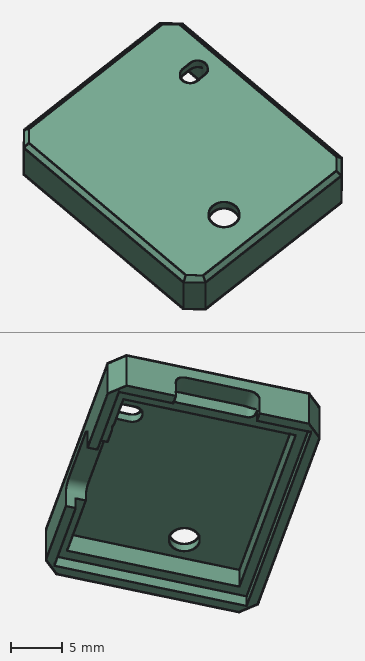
import cadquery as cq

LENGTH = 25.5
WIDTH = 21.5
HEIGHT = 5.0
CORNER_CHAMFER = 1.5
TOP_CHAMFER = 0.5

RIM_WALL = 1.0
RECESS_DEPTH = 1.43

CAVITY_WALL = 2.01
ROOF = 1.1

OPENING_HEIGHT = 3.0
OPENING_TOP_RADIUS = 1.0
END_OPENING_WIDTH = 8.5
END_POCKET_DEPTH = 2.01
END_POCKET_RADIUS = 0.75
END_RIB = 1.0
SIDE_OPENING_WIDTH = 7.9

SLOT_LENGTH = 3.0
SLOT_WIDTH = 2.0
SLOT_CENTER = (-6.0, 7.3)
HOLE_DIAMETER = 3.0
HOLE_CENTER = (8.4, -2.5)


def make_block():
    """Block with cut corners and a bevel around the top face."""
    block = cq.Workplane("XY").box(LENGTH, WIDTH, HEIGHT, centered=(True, True, False))
    block = block.edges("|Z").chamfer(CORNER_CHAMFER)
    return block.faces(">Z").chamfer(TOP_CHAMFER)


def make_board_recess():
    """Shallow recess that leaves a thin rim around the underside."""
    return cq.Workplane("XY").box(
        LENGTH - 2 * RIM_WALL, WIDTH - 2 * RIM_WALL, RECESS_DEPTH, centered=(True, True, False)
    )


def make_component_cavity():
    """Cavity up to the roof; a rib separates it from the -X connector pocket."""
    x_min = -LENGTH / 2 + END_POCKET_DEPTH + END_RIB
    x_max = LENGTH / 2 - CAVITY_WALL
    return (
        cq.Workplane("XY")
        .center((x_min + x_max) / 2, 0)
        .rect(x_max - x_min, WIDTH - 2 * CAVITY_WALL)
        .extrude(HEIGHT - ROOF)
    )


def make_opening(width, depth):
    """Tunnel along X, centred on the origin, with rounded top corners."""
    return (
        cq.Workplane("XY")
        .box(2 * depth, width, OPENING_HEIGHT, centered=(True, True, False))
        .edges("|X and >Z")
        .fillet(OPENING_TOP_RADIUS)
    )


def make_end_opening():
    """Blind connector pocket in the -X wall with rounded inner corners."""
    plan = (
        cq.Workplane("XY")
        .box(2 * END_POCKET_DEPTH, END_OPENING_WIDTH, OPENING_HEIGHT, centered=(True, True, False))
        .edges("|Z and >X")
        .fillet(END_POCKET_RADIUS)
    )
    pocket = make_opening(END_OPENING_WIDTH, END_POCKET_DEPTH).intersect(plan)
    return pocket.translate((-LENGTH / 2, 0, 0))


def make_side_opening():
    """Connector opening through the +Y wall into the component cavity."""
    opening = make_opening(SIDE_OPENING_WIDTH, CAVITY_WALL)
    return opening.rotate((0, 0, 0), (0, 0, 1), 90).translate((0, WIDTH / 2, 0))


def make_roof_slot():
    return cq.Workplane("XY").center(*SLOT_CENTER).slot2D(SLOT_LENGTH, SLOT_WIDTH, 90).extrude(HEIGHT)


def make_roof_hole():
    return cq.Workplane("XY").center(*HOLE_CENTER).circle(HOLE_DIAMETER / 2).extrude(HEIGHT)


result = (
    make_block()
    .cut(make_board_recess())
    .cut(make_component_cavity())
    .cut(make_end_opening())
    .cut(make_side_opening())
    .cut(make_roof_slot())
    .cut(make_roof_hole())
)